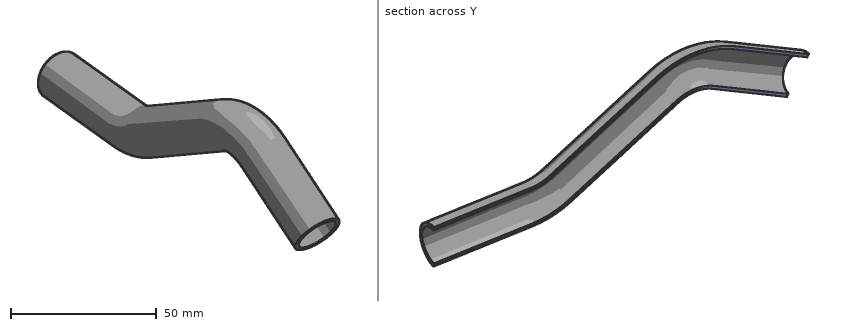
import cadquery as cq
import math

outer_diameter = 18.0
bore_diameter = 15.0

overall_length = 151.9
slope_angle = 30.0
bend_radius = 22.5
first_leg = 40.0
middle_leg = 50.1

slope = math.radians(slope_angle)
outer_radius = outer_diameter / 2

last_leg = (
    overall_length
    - outer_radius * math.sin(slope)
    - first_leg
    - 3 * bend_radius * math.sin(slope)
) / math.cos(slope) - middle_leg


def advance(point, length, angle):
    """Point reached by moving a length at an angle above +X in the XZ plane."""
    return (point[0] + length * math.cos(angle), point[1] + length * math.sin(angle))


def bend_chord(turn):
    """Straight distance between the ends of a bend."""
    return 2 * bend_radius * math.sin(turn / 2)


start = (0.0, 0.0)
lower_bend_start = advance(start, first_leg, 0)
lower_bend_end = advance(lower_bend_start, bend_chord(slope), slope / 2)
upper_bend_start = advance(lower_bend_end, middle_leg, slope)
upper_bend_end = advance(upper_bend_start, bend_chord(2 * slope), 0)
end = advance(upper_bend_end, last_leg, -slope)

centreline = (
    cq.Workplane("XZ")
    .moveTo(*start)
    .lineTo(*lower_bend_start)
    .radiusArc(lower_bend_end, -bend_radius)
    .lineTo(*upper_bend_start)
    .radiusArc(upper_bend_end, bend_radius)
    .lineTo(*end)
)

result = (
    cq.Workplane("YZ")
    .circle(outer_radius)
    .circle(bore_diameter / 2)
    .sweep(centreline)
)